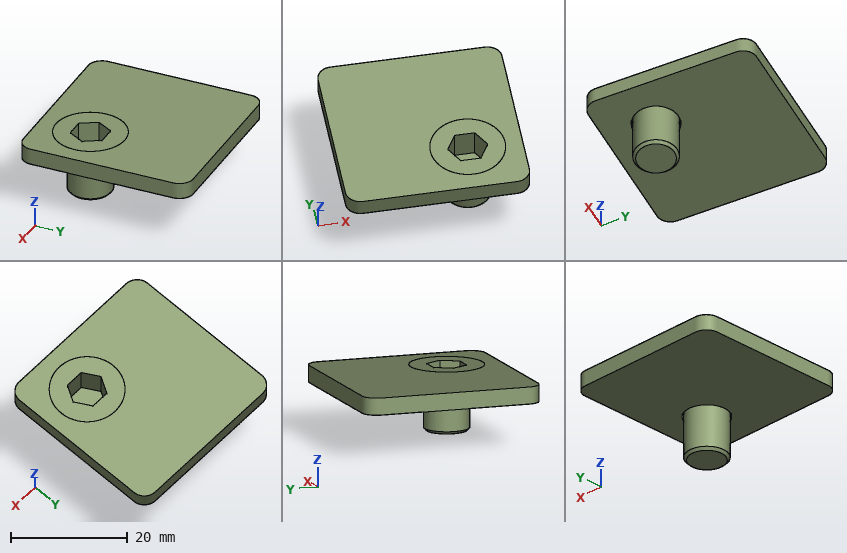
import cadquery as cq
import math

plate_side = 32.0
plate_thickness = 3.0
corner_radius = 2.6

screw_inset = 9.5
head_diameter = 13.0
head_height = 2.0
shank_diameter = 8.0
overall_height = 11.5
tip_chamfer = 0.5
clearance_diameter = 8.5
hex_across_flats = 6.0
hex_across_corners = hex_across_flats / math.cos(math.pi / 6)
socket_depth = 5.0

screw_x = plate_side / 2 - screw_inset
screw_y = -screw_x


def make_plate():
    """Square plate with rounded corners and a counterbored screw hole."""
    return (
        cq.Workplane("XY")
        .box(plate_side, plate_side, plate_thickness, centered=(True, True, False))
        .translate((0, 0, -plate_thickness))
        .edges("|Z")
        .fillet(corner_radius)
        .faces(">Z")
        .workplane(origin=(screw_x, screw_y, 0))
        .cboreHole(clearance_diameter, head_diameter, head_height)
    )


def make_screw():
    """Cylinder-head screw with a hexagon socket and a chamfered tip."""
    head = cq.Workplane("XY").circle(head_diameter / 2).extrude(-head_height)
    shank = (
        cq.Workplane("XY")
        .circle(shank_diameter / 2)
        .extrude(-overall_height)
        .faces("<Z")
        .chamfer(tip_chamfer)
    )
    socket = cq.Workplane("XY").polygon(6, hex_across_corners).extrude(-socket_depth)
    return head.union(shank).cut(socket).translate((screw_x, screw_y, 0))


plate = make_plate()
screw = make_screw()

result = cq.Compound.makeCompound([plate.val(), screw.val()])